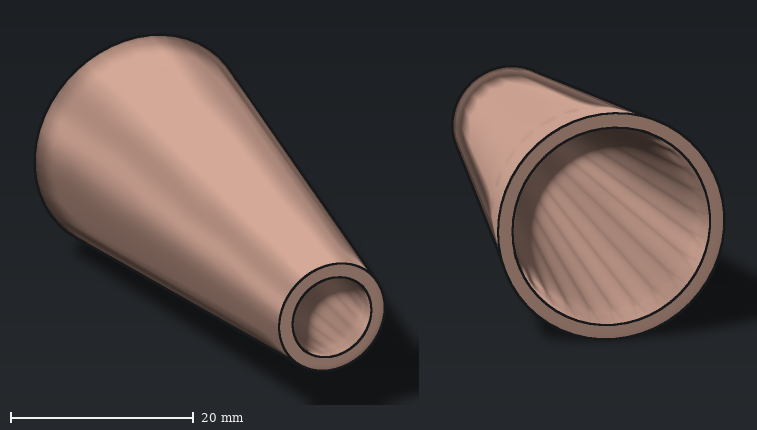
import cadquery as cq

length = 50.8
large_outer_diameter = 25.4
small_outer_diameter = large_outer_diameter / 2
wall = 1.65

large_outer_radius = large_outer_diameter / 2
small_outer_radius = small_outer_diameter / 2
large_bore_radius = large_outer_radius - wall
small_bore_radius = small_outer_radius - wall

wall_section = (
    cq.Workplane("XY")
    .moveTo(0, large_bore_radius)
    .lineTo(0, large_outer_radius)
    .lineTo(length, small_outer_radius)
    .lineTo(length, small_bore_radius)
    .close()
)

result = wall_section.revolve(360, (0, 0, 0), (1, 0, 0))